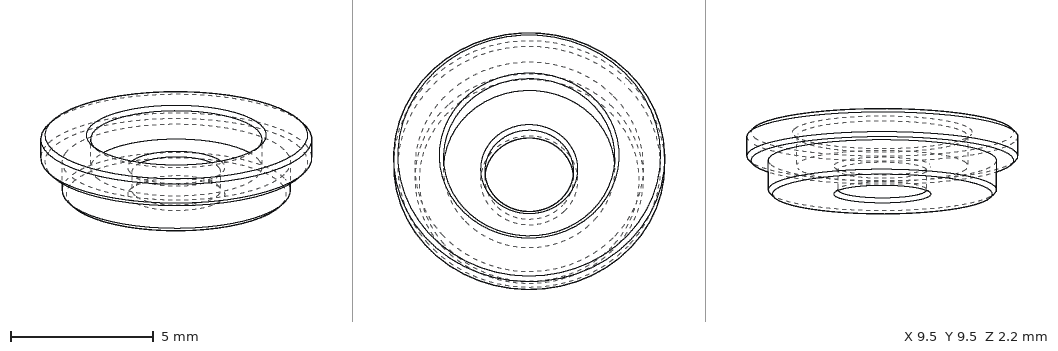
import cadquery as cq

flange_diameter = 9.5
boss_diameter = 8.0
recess_diameter = 6.0
bore_diameter = 3.1
total_height = 2.2
flange_thickness = 1.0
recess_depth = 1.2
chamfer = 0.15

boss_height = total_height - flange_thickness
recess_floor = total_height - recess_depth


def cylinder(diameter, bottom, top):
    """Cylinder on the Z axis between two heights."""
    return cq.Workplane("XY").workplane(offset=bottom).circle(diameter / 2).extrude(top - bottom)


def rim_cone(hole_diameter, rim_height, into_hole):
    """Cone that chamfers a hole rim; into_hole is +1 if the hole runs up from the rim, -1 if down."""
    hole_radius = hole_diameter / 2
    cone = cq.Solid.makeCone(
        hole_radius + chamfer,
        hole_radius,
        chamfer,
        pnt=cq.Vector(0, 0, rim_height),
        dir=cq.Vector(0, 0, into_hole),
    )
    return cq.Workplane(obj=cone)


flange = cylinder(flange_diameter, boss_height, total_height).edges().chamfer(chamfer)
boss = cylinder(boss_diameter, 0, boss_height).edges("<Z").chamfer(chamfer)
body = flange.union(boss)

body = body.cut(cylinder(recess_diameter, recess_floor, total_height))
body = body.cut(rim_cone(recess_diameter, total_height, -1))

body = body.cut(cylinder(bore_diameter, 0, recess_floor))
body = body.cut(rim_cone(bore_diameter, recess_floor, -1))
body = body.cut(rim_cone(bore_diameter, 0, 1))

result = body